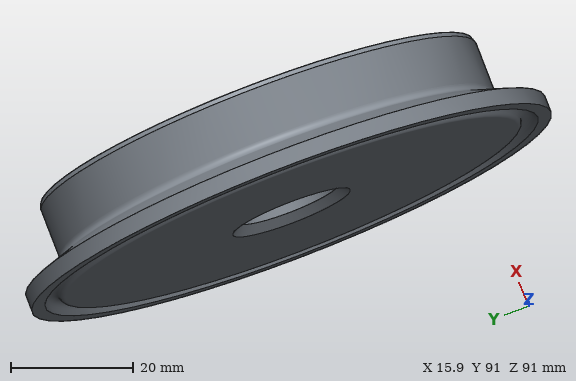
import cadquery as cq
import math

rim_radius = 45.5
hub_radius = 38.1
length = 15.9

rim_width = 2.8
cone_angle = math.radians(20)
cone_fillet = 1.6

taper_length = 0.8
taper_drop = 0.3

groove_center_radius = 41.6
groove_depth = 1.6
groove_arc_radius = 1.3
groove_wall_angle = math.radians(20)
groove_lip_fillet = 0.8

bore_radius = 8.7
bore_chamfer = 1.55


def on_x_axis(profile):
    """Revolve a profile of (x, radius) points about the X axis."""
    return profile.revolve(360, (0, 0, 0), (1, 0, 0))


def make_body():
    """Solid flange and hub with a rounded corner between cone and hub."""
    corner_x = rim_width + (rim_radius - hub_radius) * math.tan(cone_angle)

    tangent_length = cone_fillet * math.tan((math.pi / 2 - cone_angle) / 2)
    fillet_start = (
        corner_x - tangent_length * math.sin(cone_angle),
        hub_radius + tangent_length * math.cos(cone_angle),
    )
    fillet_end = (corner_x + tangent_length, hub_radius)

    profile = (
        cq.Workplane("XY")
        .moveTo(0, 0)
        .lineTo(0, rim_radius)
        .lineTo(rim_width, rim_radius)
        .lineTo(*fillet_start)
        .radiusArc(fillet_end, -cone_fillet)
        .lineTo(length - taper_length, hub_radius)
        .lineTo(length, hub_radius - taper_drop)
        .lineTo(length, 0)
        .close()
    )
    return on_x_axis(profile)


def make_groove():
    """Gasket groove with its outer wall, floor and inner lip tangent to each other."""
    arc_center_x = groove_depth - groove_arc_radius

    center_distance = groove_arc_radius + groove_lip_fillet
    lip_center_offset = math.sqrt(center_distance**2 - (groove_lip_fillet - arc_center_x) ** 2)
    lip_radius = groove_center_radius - lip_center_offset
    lip_share = groove_lip_fillet / center_distance
    lip_end = (
        groove_lip_fillet + (arc_center_x - groove_lip_fillet) * lip_share,
        lip_radius + lip_center_offset * lip_share,
    )

    wall_start_x = arc_center_x + groove_arc_radius * math.sin(groove_wall_angle)
    wall_start_radius = groove_center_radius + groove_arc_radius * math.cos(groove_wall_angle)
    wall_end_radius = wall_start_radius + wall_start_x * math.tan(groove_wall_angle)

    profile = (
        cq.Workplane("XY")
        .moveTo(0, lip_radius)
        .radiusArc(lip_end, groove_lip_fillet)
        .threePointArc((groove_depth, groove_center_radius), (wall_start_x, wall_start_radius))
        .lineTo(0, wall_end_radius)
        .close()
    )
    return on_x_axis(profile)


def make_bore():
    """Through bore including its conical mouth."""
    profile = (
        cq.Workplane("XY")
        .moveTo(0, 0)
        .lineTo(0, bore_radius + bore_chamfer)
        .lineTo(bore_chamfer, bore_radius)
        .lineTo(length, bore_radius)
        .lineTo(length, 0)
        .close()
    )
    return on_x_axis(profile)


result = make_body().cut(make_groove()).cut(make_bore())